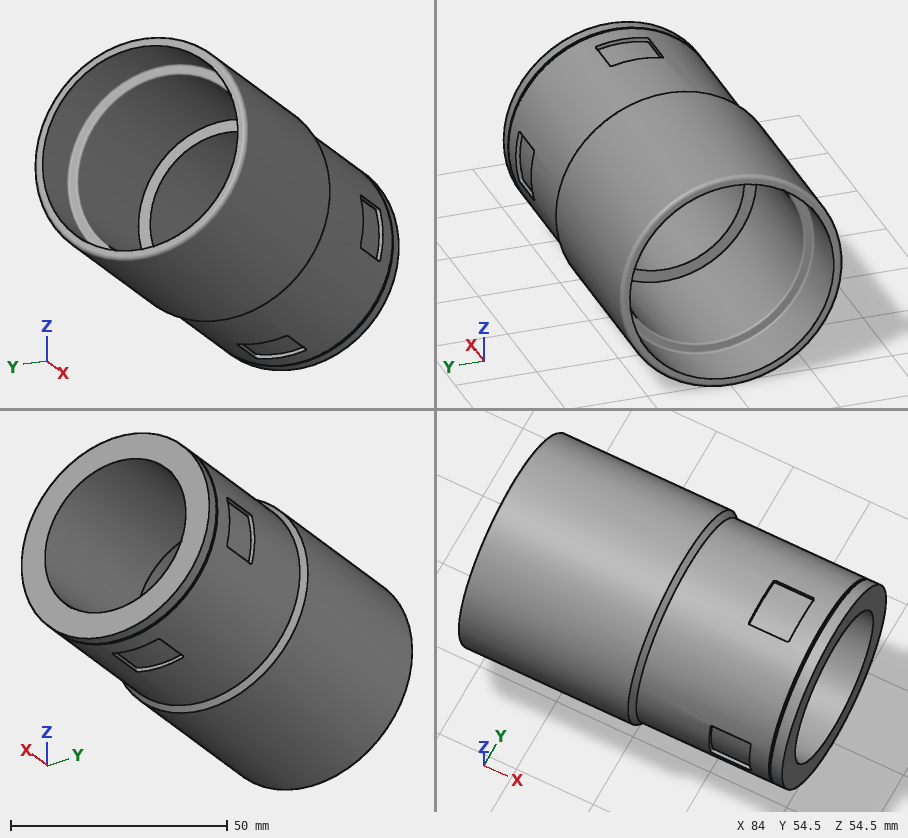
import cadquery as cq

full_turn = 360.0

length = 84.0

body_diameter = 54.5
mouth_round = 1.0
socket_diameter = 50.0
socket_depth = 13.5
socket_round = 0.5

neck_diameter = 52.0
neck_start = 46.0
step_length = 1.5

bore_diameter = 45.0
bore_end = neck_start
outlet_diameter = 39.0

groove_start = 80.5
groove_width = 0.5
groove_depth = 0.5

window_count = 4
window_start = 65.0
window_length = 10.5
window_width = 13.0
window_floor_diameter = 50.0
window_corner_round = 0.5


def cylinder(start, span, diameter):
    """Solid cylinder along +X that begins at x = start."""
    return cq.Workplane("YZ", origin=(start, 0, 0)).circle(diameter / 2).extrude(span)


def ring(start, span, outer_diameter, inner_diameter):
    """Tube along +X that begins at x = start."""
    return cylinder(start, span, outer_diameter).cut(cylinder(start, span, inner_diameter))


def make_outside():
    """Body and neck turned as one profile, with the mouth edge rounded."""
    body_radius = body_diameter / 2
    neck_radius = neck_diameter / 2
    profile = (
        cq.Workplane("XY")
        .moveTo(0, 0)
        .lineTo(0, body_radius)
        .lineTo(neck_start - step_length, body_radius)
        .lineTo(neck_start, neck_radius)
        .lineTo(length, neck_radius)
        .lineTo(length, 0)
        .close()
    )
    outside = profile.revolve(full_turn, (0, 0, 0), (1, 0, 0))
    return outside.faces("<X").edges().fillet(mouth_round)


def make_cavity():
    """Stepped hole through the part, with a rounded socket floor."""
    socket_radius = socket_diameter / 2
    bore_radius = bore_diameter / 2
    outlet_radius = outlet_diameter / 2
    profile = (
        cq.Workplane("XY")
        .moveTo(0, 0)
        .lineTo(0, socket_radius)
        .lineTo(socket_depth - socket_round, socket_radius)
        .radiusArc((socket_depth, socket_radius - socket_round), socket_round)
        .lineTo(socket_depth, bore_radius + socket_round)
        .radiusArc((socket_depth + socket_round, bore_radius), -socket_round)
        .lineTo(bore_end, bore_radius)
        .lineTo(bore_end, outlet_radius)
        .lineTo(length, outlet_radius)
        .lineTo(length, 0)
        .close()
    )
    return profile.revolve(full_turn, (0, 0, 0), (1, 0, 0))


def make_groove():
    """Ring to remove for the fine groove."""
    floor_diameter = neck_diameter - 2 * groove_depth
    return ring(groove_start, groove_width, body_diameter, floor_diameter)


def make_window(angle):
    """Curved-floor pocket with rounded corners, turned by angle about X from +Z."""
    column = (
        cq.Workplane("XY")
        .box(window_length, window_width, body_diameter, centered=(False, True, False))
        .edges("|Z")
        .fillet(window_corner_round)
        .translate((window_start, 0, 0))
    )
    skin = ring(window_start, window_length, body_diameter, window_floor_diameter)
    return skin.intersect(column).rotate((0, 0, 0), (1, 0, 0), angle)


result = make_outside().cut(make_cavity()).cut(make_groove())
for index in range(window_count):
    result = result.cut(make_window(index * full_turn / window_count))